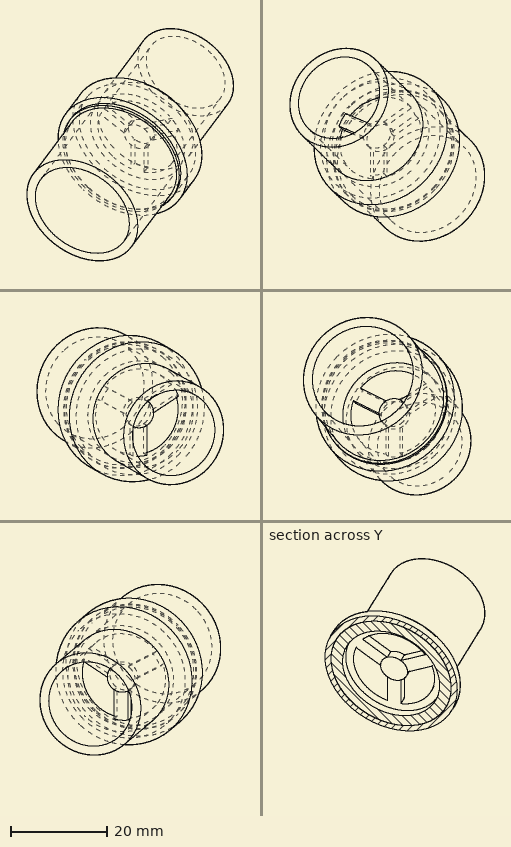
import cadquery as cq

total_length = 51.2

housing_radius = 14.85
rear_pipe_radius = 11.0
rear_bore_radius = 9.05
rear_pipe_length = 19.9
cone_length = 4.0
socket_length = 7.3

collar_radius = 13.35
collar_stand_out = 0.75
front_pipe_radius = 12.75
front_bore_radius = 10.8

spoke_count = 3
spoke_width = 3.0
pin_radius = spoke_width
spoke_thickness = 2.0
spoke_overlap = 0.5

front_y = -total_length / 2
rear_y = total_length / 2
cone_rear_y = rear_y - rear_pipe_length
cone_front_y = cone_rear_y - cone_length
socket_front_y = cone_front_y - socket_length
collar_front_y = socket_front_y - collar_stand_out


def cylinder(radius, start_y, end_y):
    """Solid cylinder about the Y axis between two positions."""
    plane = cq.Plane(origin=(0, start_y, 0), xDir=(1, 0, 0), normal=(0, 1, 0))
    return cq.Workplane(plane).circle(radius).extrude(end_y - start_y)


def make_spoke(angle):
    """Bar from the axis to the housing wall, turned about Y from -Z."""
    length = rear_bore_radius + spoke_overlap
    spoke = cq.Workplane("XY").box(
        spoke_width, spoke_thickness, length, centered=(True, False, False)
    )
    spoke = spoke.translate((0, cone_front_y, -length))
    return spoke.rotate((0, 0, 0), (0, 1, 0), angle)


def make_housing():
    """Stepped shell whose spokes are flush with the socket floor."""
    profile = [
        (collar_radius, socket_front_y),
        (housing_radius, socket_front_y),
        (housing_radius, cone_front_y),
        (rear_pipe_radius, cone_rear_y),
        (rear_pipe_radius, rear_y),
        (rear_bore_radius, rear_y),
        (rear_bore_radius, cone_front_y),
        (collar_radius, cone_front_y),
    ]
    housing = cq.Workplane("XY").polyline(profile).close().revolve(360, (0, 0), (0, 1))
    for index in range(spoke_count):
        housing = housing.union(make_spoke(index * 360 / spoke_count))
    pin_hole = cylinder(pin_radius, cone_front_y, cone_front_y + spoke_thickness)
    return housing.cut(pin_hole)


def make_insert():
    """Front pipe with its collar reaching the socket floor."""
    pipe = cylinder(front_pipe_radius, front_y, cone_front_y)
    collar = cylinder(collar_radius, collar_front_y, cone_front_y)
    bore = cylinder(front_bore_radius, front_y, cone_front_y)
    return pipe.union(collar).cut(bore)


def make_pin():
    """Round pin filling the hole between the spokes, flush with them."""
    return cylinder(pin_radius, cone_front_y, cone_front_y + spoke_thickness)


housing = make_housing()
insert = make_insert()
pin = make_pin()

result = cq.Compound.makeCompound([housing.val(), insert.val(), pin.val()])